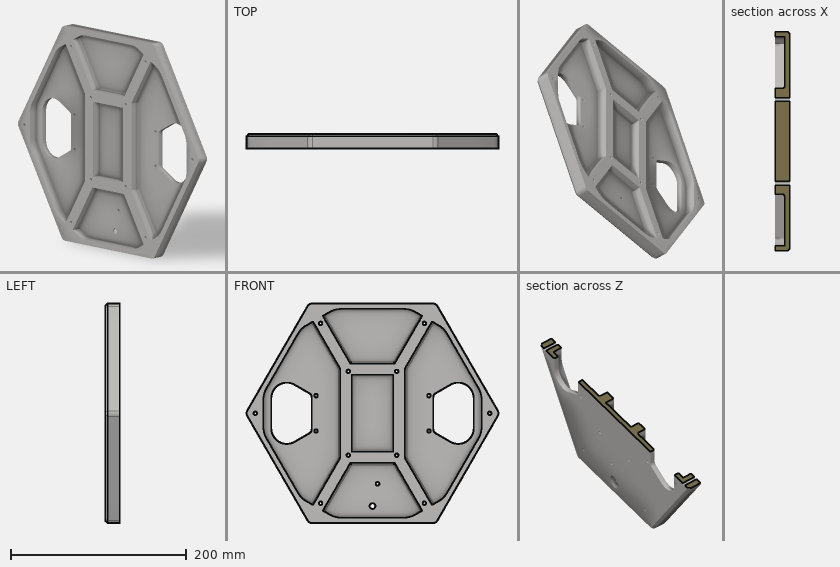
import cadquery as cq
import math

flat_width = 250.0
half_sector_angle = 30
thickness = 17.0
outer_corner_radius = 6.3
back_chamfer = 3.0
front_y = -thickness / 2

recess_depth = 11.0
rim_width = 6.3
recess_corner_reach = 124.1
recess_corner_radius = 24.5

frame_half_width = 36.7
frame_half_height = 56.5
arm_width = 13.0
arm_angle = 60
arm_reach = flat_width
frame_foot_radius = 2.0

center_pocket_width = 47.5
center_pocket_height = 87.2
center_pocket_depth = 11.0

window_outer_x = 115.0
window_inner_x = 69.5
window_inner_half_height = 21.2
window_taper_angle = 30
window_outer_radius = 17.5
window_inner_radius = 5.0

screw_hole_diameter = 3.7
frame_hole_x = 27.5
rim_hole_x = 133.3
arm_hole_reach = 118.0
window_hole_x = 64.2
window_hole_z = 20.0
small_hole_center = (5.7, -80.3)
small_hole_diameter = 4.0
large_hole_center = (0, -105.5)
large_hole_diameter = 6.3
counterbore_diameter = 16.0
counterbore_depth = 4.0


def workplane(y):
    """XZ sketch plane at the given Y, facing -Y."""
    return cq.Workplane(cq.Plane(origin=(0, y, 0), xDir=(1, 0, 0), normal=(0, -1, 0)))


def extrude_back(sketch, depth):
    """Extrude a sketch toward the back face (+Y)."""
    return sketch.extrude(-depth)


def hexagon(flat_to_flat, depth):
    """Hexagonal prism with corners on the X axis, starting at the front face."""
    corner_to_corner = flat_to_flat / math.cos(math.radians(half_sector_angle))
    return extrude_back(workplane(front_y).polygon(6, corner_to_corner), depth)


def turn(body, angle):
    """Rotate a body about the Y axis through the plate centre."""
    return body.rotate((0, 0, 0), (0, 1, 0), angle)


def make_plate():
    plate = hexagon(flat_width, thickness).edges("|Y").fillet(outer_corner_radius)
    return plate.faces(">Y").chamfer(back_chamfer)


def make_recess():
    """Hexagon with its corners cut off by a second hexagon turned by half a sector."""
    corner_cut = turn(hexagon(2 * recess_corner_reach, recess_depth), half_sector_angle)
    recess = hexagon(flat_width - 2 * rim_width, recess_depth).intersect(corner_cut)
    return recess.edges("|Y").fillet(recess_corner_radius)


def make_frame():
    frame = extrude_back(workplane(front_y).rect(2 * frame_half_width, 2 * frame_half_height), recess_depth)
    for angle in (arm_angle, -arm_angle):
        arm = extrude_back(workplane(front_y).rect(2 * arm_reach, arm_width), recess_depth)
        frame = frame.union(turn(arm, angle))
    return frame


def make_pockets():
    """Recess minus the frame, with the foot of the frame walls rounded but the rim wall left sharp."""
    around_frame = hexagon(flat_width, recess_depth).cut(make_frame())
    around_frame = around_frame.faces(">Y").edges().fillet(frame_foot_radius)
    return around_frame.intersect(make_recess())


def make_center_pocket():
    outline = workplane(front_y).rect(center_pocket_width, center_pocket_height)
    return extrude_back(outline, center_pocket_depth)


def make_window():
    """Window on the +X side: a trapezoid that widens outward, with rounded corners."""
    taper_rise = (window_outer_x - window_inner_x) * math.tan(math.radians(window_taper_angle))
    outer_half_height = window_inner_half_height + taper_rise
    outline = workplane(front_y).polyline([
        (window_inner_x, -window_inner_half_height),
        (window_outer_x, -outer_half_height),
        (window_outer_x, outer_half_height),
        (window_inner_x, window_inner_half_height),
    ]).close()
    window = extrude_back(outline, thickness)
    window = window.edges("|Y and >X").fillet(window_outer_radius)
    return window.edges("|Y and <X").fillet(window_inner_radius)


def make_holes(centers, diameter):
    return extrude_back(workplane(front_y).pushPoints(centers).circle(diameter / 2), thickness)


def make_large_hole():
    """Through hole, counterbored from the back face."""
    x, z = large_hole_center
    counterbore = workplane(thickness / 2 - counterbore_depth).center(x, z).circle(counterbore_diameter / 2)
    through_hole = make_holes([large_hole_center], large_hole_diameter)
    return through_hole.union(extrude_back(counterbore, counterbore_depth))


def mirrored_points(x, z):
    """The point and its mirror images about both centre lines."""
    return [(side * x, level * z) for side in (1, -1) for level in (1, -1)]


frame_hole_z = frame_hole_x * math.tan(math.radians(arm_angle))
arm_hole_x = arm_hole_reach * math.cos(math.radians(arm_angle))
arm_hole_z = arm_hole_reach * math.sin(math.radians(arm_angle))
screw_hole_centers = (
    mirrored_points(frame_hole_x, frame_hole_z)
    + mirrored_points(arm_hole_x, arm_hole_z)
    + mirrored_points(window_hole_x, window_hole_z)
    + [(rim_hole_x, 0), (-rim_hole_x, 0)]
)

window = make_window()

result = (
    make_plate()
    .cut(make_pockets())
    .cut(make_center_pocket())
    .cut(window)
    .cut(window.mirror("YZ"))
    .cut(make_holes(screw_hole_centers, screw_hole_diameter))
    .cut(make_holes([small_hole_center], small_hole_diameter))
    .cut(make_large_hole())
)